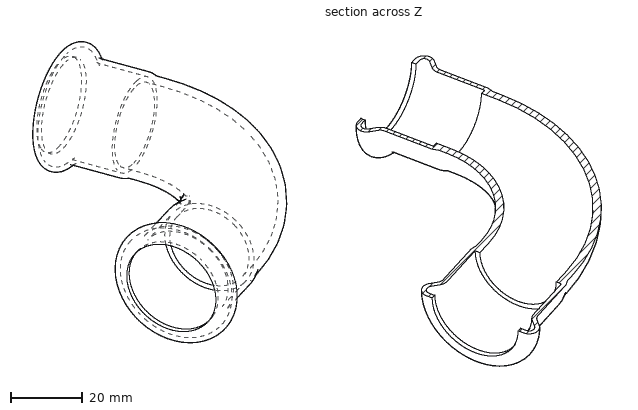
import cadquery as cq
import math


overall = 89.85
bead_diameter = 37.7
socket_diameter = 31.0
tube_diameter = 29.8
tube_bore_diameter = 24.9
socket_bore_diameter = 28.0
mouth_face_diameter = 31.7

bead_radius = (bead_diameter - mouth_face_diameter) / 2
bead_slope = math.radians(45)
bead_blend_radius = 2.2
neck_start = 23.7
neck_slope = math.radians(17)
neck_blend_radius = 2.4
straight_length = 29.0

socket_radius = socket_diameter / 2
tube_radius = tube_diameter / 2
tube_bore_radius = tube_bore_diameter / 2
socket_bore_radius = socket_bore_diameter / 2
wall = socket_radius - socket_bore_radius
leg_length = overall - bead_diameter / 2
bend_radius = leg_length - straight_length

bead_center = (bead_radius, bead_diameter / 2 - bead_radius)
blend_center_height = socket_radius + bead_blend_radius
tangent_gap = bead_radius + bead_blend_radius
center_rise = blend_center_height - bead_center[1]
blend_center_offset = (tangent_gap - center_rise * math.cos(bead_slope)) / math.sin(bead_slope)
blend_center = (bead_radius + blend_center_offset, blend_center_height)

neck_arc_length = neck_blend_radius * math.sin(neck_slope)
neck_arc_drop = neck_blend_radius * (1 - math.cos(neck_slope))
neck_line_drop = socket_radius - tube_radius - 2 * neck_arc_drop
neck_line_length = neck_line_drop / math.tan(neck_slope)
neck_end = neck_start + 2 * neck_arc_length + neck_line_length
neck_in_center = (neck_start, socket_radius - neck_blend_radius)
neck_out_center = (neck_end, tube_radius + neck_blend_radius)


def on_circle(center, radius, angle):
    """Point at an angle from the outward direction, leaning towards the bend.

    A negative radius gives the point on the opposite side of the center.
    """
    along, height = center
    return (along + radius * math.sin(angle), height + radius * math.cos(angle))


def draw_bead(sketch, radius, blend_radius):
    """Continue a profile from the front of the bead to the end of its blend."""
    front_middle = math.radians(-90) + (bead_slope + math.radians(90)) / 2
    return (
        sketch.threePointArc(
            on_circle(bead_center, radius, front_middle),
            on_circle(bead_center, radius, bead_slope),
        )
        .lineTo(*on_circle(blend_center, -blend_radius, bead_slope))
        .threePointArc(
            on_circle(blend_center, -blend_radius, bead_slope / 2),
            on_circle(blend_center, -blend_radius, 0),
        )
    )


def outer_leg():
    sketch = cq.Workplane("XY").lineTo(0, bead_center[1])
    sketch = draw_bead(sketch, bead_radius, bead_blend_radius)
    return (
        sketch.lineTo(neck_start, socket_radius)
        .threePointArc(
            on_circle(neck_in_center, neck_blend_radius, neck_slope / 2),
            on_circle(neck_in_center, neck_blend_radius, neck_slope),
        )
        .lineTo(*on_circle(neck_out_center, -neck_blend_radius, neck_slope))
        .threePointArc(
            on_circle(neck_out_center, -neck_blend_radius, neck_slope / 2),
            on_circle(neck_out_center, -neck_blend_radius, 0),
        )
        .lineTo(straight_length, tube_radius)
        .lineTo(straight_length, 0)
        .close()
        .revolve(360, (0, 0, 0), (1, 0, 0))
    )


def leg_bore():
    """Mouth, seal groove inside the bead, socket bore and tube bore."""
    sketch = (
        cq.Workplane("XY")
        .lineTo(0, socket_bore_radius)
        .lineTo(wall, socket_bore_radius)
        .lineTo(wall, bead_center[1])
    )
    sketch = draw_bead(sketch, bead_radius - wall, bead_blend_radius + wall)
    return (
        sketch.lineTo(neck_start, socket_bore_radius)
        .lineTo(neck_start, tube_bore_radius)
        .lineTo(straight_length, tube_bore_radius)
        .lineTo(straight_length, 0)
        .close()
        .revolve(360, (0, 0, 0), (1, 0, 0))
    )


def bend():
    """Quarter-torus tube joining the two legs."""
    return (
        cq.Workplane("YZ", origin=(-bend_radius, 0, 0))
        .circle(tube_radius)
        .circle(tube_bore_radius)
        .revolve(90, (-bend_radius, 0.9, 0), (-bend_radius, 0, 0))
    )


leg = outer_leg().cut(leg_bore())
x_leg = leg.translate((-leg_length, 0, 0))
y_leg = leg.rotate((0, 0, 0), (0, 0, 1), 90).translate((0, -leg_length, 0))

result = x_leg.union(bend()).union(y_leg)